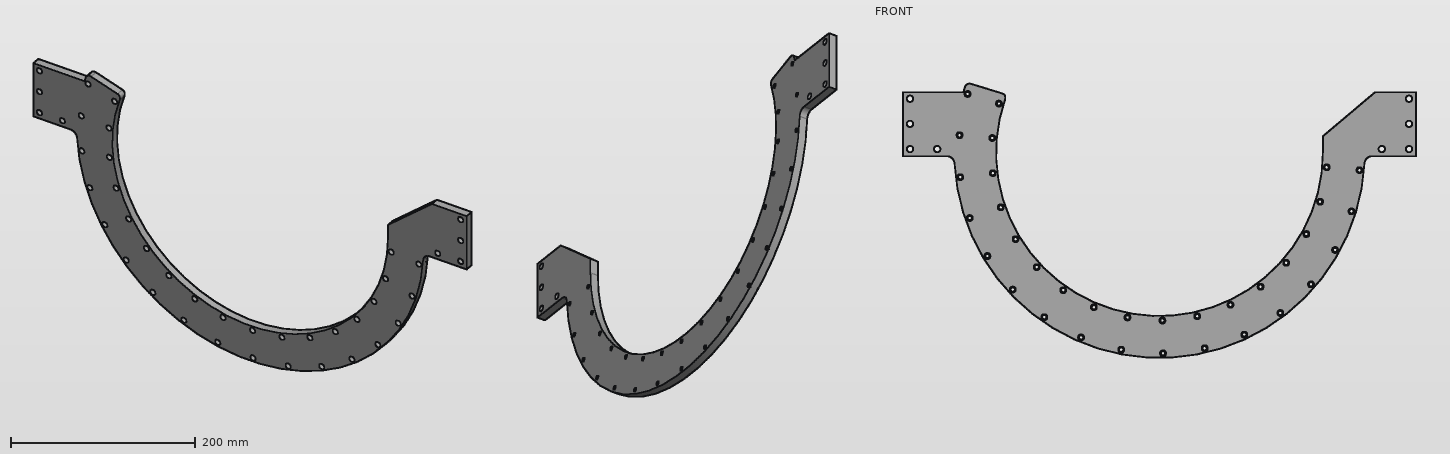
import cadquery as cq
import math

length = 557.0
thickness = 10.0
ring_outer_radius = 223.0
ring_inner_radius = 177.0
ring_end_offset = 11.5
ring_end_fillet = 5.0

ear_bottom = -4.0
ear_top = 66.0
ear_root_fillet = 8.5
bevel_start_height = 18.0
bevel_end_x = 234.0

ear_hole_diameter = 6.5
ear_hole_pitch = 27.5
ear_hole_rows = 3
ear_hole_margin = 8.0
ear_foot_hole_spacing = 29.5

ring_hole_diameter = 4.5
ring_counterbore_diameter = 6.5
ring_counterbore_depth = 8.5
ring_hole_edge_margin = 5.0
ring_hole_first_angle = 163.0
ring_hole_step = 12.0
ring_hole_count = 17

ring_center_height = ring_outer_radius
half_length = length / 2


def polar(radius, angle):
    """Point at the given radius and angle (degrees) about the ring centre."""
    return (radius * math.cos(math.radians(angle)), radius * math.sin(math.radians(angle)))


def ring_end_angle(radius):
    """Angle at which the free end, parallel to the first hole pair, crosses the given radius."""
    return ring_hole_first_angle - math.degrees(math.asin(ring_end_offset / radius))


def front_plane():
    """Sketch plane on the -Y face, centred on the ring."""
    return cq.Workplane("XZ", origin=(0, 0, ring_center_height))


def plate():
    """Ring sector and both ears as one flat plate."""
    ring_root_x = math.sqrt(ring_outer_radius**2 - ear_bottom**2)
    ear_meet_x = math.sqrt(ring_outer_radius**2 - ear_top**2)
    ear_meet_angle = 180 - math.degrees(math.asin(ear_top / ring_outer_radius))
    outer_end_angle = ring_end_angle(ring_outer_radius)
    inner_end_angle = ring_end_angle(ring_inner_radius)
    outer_end = polar(ring_outer_radius, outer_end_angle)
    inner_end = polar(ring_inner_radius, inner_end_angle)
    outer_arc_middle = polar(ring_outer_radius, (ear_meet_angle + outer_end_angle) / 2)
    inner_arc_middle = polar(ring_inner_radius, (inner_end_angle + 360) / 2)

    body = (
        front_plane()
        .moveTo(-half_length, ear_bottom)
        .lineTo(-half_length, ear_top)
        .lineTo(-ear_meet_x, ear_top)
        .threePointArc(outer_arc_middle, outer_end)
        .lineTo(*inner_end)
        .threePointArc(inner_arc_middle, (ring_inner_radius, 0))
        .lineTo(ring_inner_radius, bevel_start_height)
        .lineTo(bevel_end_x, ear_top)
        .lineTo(half_length, ear_top)
        .lineTo(half_length, ear_bottom)
        .lineTo(ring_root_x, ear_bottom)
        .threePointArc((0, -ring_outer_radius), (-ring_root_x, ear_bottom))
        .close()
        .extrude(-thickness)
    )
    body = fillet_corners(body, [outer_end, inner_end], ring_end_fillet)
    return fillet_corners(body, [(-ring_root_x, ear_bottom), (ring_root_x, ear_bottom)], ear_root_fillet)


def fillet_corners(body, corners, radius):
    """Round the thickness edges that pass through the given outline corners."""
    for x, height in corners:
        middle = (x, thickness / 2, ring_center_height + height)
        body = body.edges("|Y").edges(cq.selectors.NearestToPointSelector(middle)).fillet(radius)
    return body


def ear_hole_points():
    """A column of holes up the outer edge and one along the foot of each ear."""
    outer_x = half_length - ear_hole_margin
    lowest = ear_bottom + ear_hole_margin
    points = []
    for side in (-1, 1):
        for row in range(ear_hole_rows):
            points.append((side * outer_x, lowest + row * ear_hole_pitch))
        points.append((side * (outer_x - ear_foot_hole_spacing), lowest))
    return points


def ring_hole_points():
    """Two concentric rows of evenly spaced holes along the ring edges."""
    row_radii = (ring_inner_radius + ring_hole_edge_margin, ring_outer_radius - ring_hole_edge_margin)
    points = []
    for radius in row_radii:
        for index in range(ring_hole_count):
            points.append(polar(radius, ring_hole_first_angle + index * ring_hole_step))
    return points


def cylinders(points, diameter, depth):
    """Round cutters that start on the -Y face."""
    return front_plane().pushPoints(points).circle(diameter / 2).extrude(-depth)


result = (
    plate()
    .cut(cylinders(ear_hole_points(), ear_hole_diameter, thickness))
    .cut(cylinders(ring_hole_points(), ring_hole_diameter, thickness))
    .cut(cylinders(ring_hole_points(), ring_counterbore_diameter, ring_counterbore_depth))
)